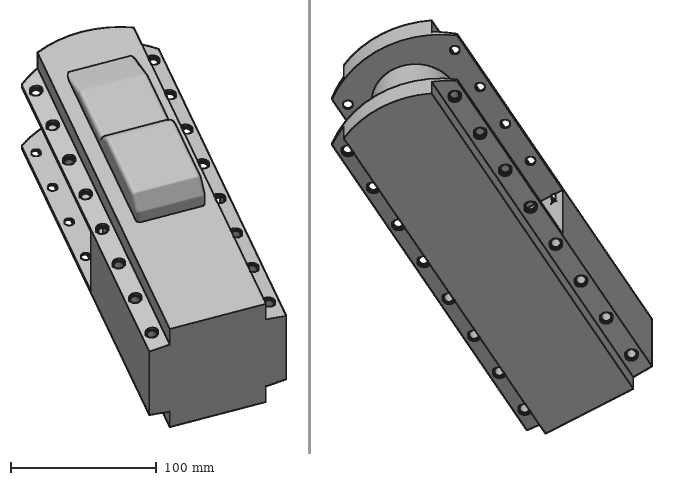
import cadquery as cq

body_length = 280.0
body_width = 99.7
body_height = 100.0
gap_height = 60.0
nose_radius = 80.0
inner_face = gap_height / 2
plate_thickness = (body_height - gap_height) / 2

web_width = 70.0
flange_edge_thickness = 2.38
flange_root_thickness = 4.2

block_start = 159.5
roller_diameter = 60.5
roller_x = 48.5

side_offset = 1.7

hole_count = 8
first_hole_x = 26.5
last_hole_x = 264.5
hole_pitch = (last_hole_x - first_hole_x) / (hole_count - 1)
hole_edge_distance = 7.3
hole_row_offset = body_width / 2 - hole_edge_distance
hole_diameter = 6.7
counterbore_diameter = 9.0
counterbore_floor = 1.5
block_hole_depth = 10.0

housing_width = 50.0
housing_height = 20.2
step_height = 10.0
housing_front = 32.2
step_front = 60.0
step_back = 105.0
crest_front = 114.2
crest_back = 170.2
housing_back = 180.0
shoulder_height = 10.0
crest_radius = 9.5
corner_radius = 2.0
edge_radius = 3.0


def make_plate():
    """Upper plate: flanged cross-section swept along X, trimmed to the round nose."""
    half_width = body_width / 2
    half_web = web_width / 2
    section = (
        cq.Workplane("YZ")
        .moveTo(-half_width, inner_face)
        .lineTo(half_width, inner_face)
        .lineTo(half_width, inner_face + flange_edge_thickness)
        .lineTo(half_web, inner_face + flange_root_thickness)
        .lineTo(half_web, inner_face + plate_thickness)
        .lineTo(-half_web, inner_face + plate_thickness)
        .lineTo(-half_web, inner_face + flange_root_thickness)
        .lineTo(-half_width, inner_face + flange_edge_thickness)
        .close()
        .extrude(body_length)
    )
    nose = cq.Workplane("XY").center(nose_radius, 0).circle(nose_radius).extrude(body_height)
    behind_nose = (
        cq.Workplane("XY")
        .box(body_length, body_width, body_height, centered=(False, True, False))
        .translate((nose_radius, 0, 0))
    )
    return section.intersect(nose.union(behind_nose))


def make_block():
    """Solid spacer block filling the tail end of the gap."""
    return (
        cq.Workplane("XY")
        .box(body_length - block_start, body_width, gap_height, centered=(False, True, True))
        .translate((block_start, 0, 0))
    )


def make_roller():
    """Vertical roller spanning the gap near the nose."""
    return (
        cq.Workplane("XY", origin=(roller_x, side_offset, -gap_height / 2))
        .circle(roller_diameter / 2)
        .extrude(gap_height)
    )


def make_housing():
    """Stepped housing with a ramped front, a sloped step and a chamfered back."""
    housing = (
        cq.Workplane("XZ", origin=(0, side_offset + housing_width / 2, body_height / 2))
        .moveTo(housing_front, 0)
        .lineTo(step_front, step_height)
        .lineTo(step_back, step_height)
        .lineTo(crest_front, housing_height)
        .lineTo(crest_back, housing_height)
        .lineTo(housing_back, shoulder_height)
        .lineTo(housing_back, 0)
        .close()
        .extrude(housing_width)
    )
    rounded_corners = [
        (step_front, step_height, corner_radius),
        (crest_front, housing_height, crest_radius),
        (crest_back, housing_height, corner_radius),
        (housing_back, shoulder_height, corner_radius),
    ]
    for x, height, radius in rounded_corners:
        corner = cq.selectors.NearestToPointSelector((x, side_offset, body_height / 2 + height))
        housing = housing.edges(corner).fillet(radius)
    return housing.faces("<Y or >Y").edges("not <Z").fillet(edge_radius)


def vertical_cylinder(x, y, diameter, z_low, z_high):
    """Cylinder along Z, used to cut the screw holes."""
    return cq.Workplane("XY", origin=(x, y, z_low)).circle(diameter / 2).extrude(z_high - z_low)


def make_screw_holes():
    """Counterbored screw holes through the flanges of both plates.

    Holes that meet the block are blind, except those of the +Y row lying wholly
    behind the block's front face, which run right through from plate to plate.
    Holes over the open gap pass through their own plate only.
    """
    top = body_height / 2
    holes = cq.Workplane("XY")
    for index in range(hole_count):
        x = first_hole_x + index * hole_pitch
        for y in (-hole_row_offset, hole_row_offset):
            runs_through = y > 0 and x - hole_diameter / 2 > block_start
            hole_end = 0 if runs_through else inner_face - block_hole_depth
            hole = vertical_cylinder(x, y, hole_diameter, hole_end, top)
            counterbore = vertical_cylinder(x, y, counterbore_diameter, inner_face + counterbore_floor, top)
            upper = hole.union(counterbore)
            holes = holes.add(upper).add(upper.mirror("XY"))
    return holes.combine()


upper_plate = make_plate()
lower_plate = upper_plate.mirror("XY")
body = upper_plate.union(lower_plate).union(make_block()).union(make_roller())
result = body.cut(make_screw_holes()).union(make_housing())